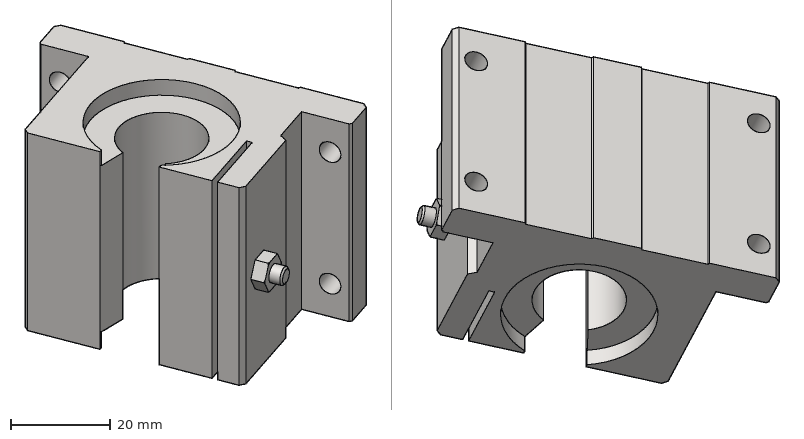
import cadquery as cq
import math


overall_width = 69.85
overall_depth = 39.0
length = 47.65
half_length = length / 2
back_y = 23.8
front_y = back_y - overall_depth

flange_thickness = 8.1
flange_back_chamfer = 1.05
flange_front_chamfer = 0.5
mount_hole_diameter = 4.8
mount_hole_x = 30.2
mount_hole_z = 15.85

groove_depth = 0.4
groove_inner_x = 5.1
groove_outer_x = 19.7
groove_wall_run = 0.3

body_half_width = 23.8
body_chamfer = 1.05
pad_x = 25.5
pad_step_start_y = 5.95
pad_step_end_y = 4.75

shaft_bore_diameter = 19.1
seat_diameter = 31.8
seat_depth = 3.8
opening_half_width = 6.65
throat_half_width = 4.75

slot_left_x = 18.45
slot_width = 1.25
slot_top_y = 1.1

screw_y = -7.7
nut_across_corners = 8.1
nut_thickness = 3.1
nut_chamfer = 0.2
screw_diameter = 4.05
screw_projection = 2.85
screw_chamfer = 0.4


def extrude_full_length(points):
    """Close an XY outline and extrude it over the whole block length."""
    return cq.Workplane("XY", origin=(0, 0, -half_length)).polyline(points).close().extrude(length)


def make_flange():
    half_width = overall_width / 2
    front = back_y - flange_thickness
    flange = extrude_full_length([
        (-half_width, front), (half_width, front), (half_width, back_y), (-half_width, back_y),
    ])
    flange = flange.edges("|Z and >Y").chamfer(flange_back_chamfer)
    return flange.edges("|Z and <Y").chamfer(flange_front_chamfer)


def make_body():
    return extrude_full_length([
        (-body_half_width, back_y - flange_thickness / 2),
        (-body_half_width, front_y + body_chamfer),
        (-body_half_width + body_chamfer, front_y),
        (pad_x - body_chamfer, front_y),
        (pad_x, front_y + body_chamfer),
        (pad_x, pad_step_end_y),
        (body_half_width, pad_step_start_y),
        (body_half_width, back_y - flange_thickness / 2),
    ])


def make_groove(side):
    """Shallow trapezoidal groove on one side (-1 or 1) of the mounting face."""
    floor_y = back_y - groove_depth
    return extrude_full_length([
        (side * groove_inner_x, back_y),
        (side * (groove_inner_x + groove_wall_run), floor_y),
        (side * (groove_outer_x - groove_wall_run), floor_y),
        (side * groove_outer_x, back_y),
    ])


def make_seat_recess(bottom_z):
    return cq.Workplane("XY", origin=(0, 0, bottom_z)).circle(seat_diameter / 2).extrude(seat_depth)


def make_shaft_opening():
    """Round bore with a throat that flares to the seat and then runs straight to the front."""
    bore_radius = shaft_bore_diameter / 2
    throat_y = -math.sqrt(bore_radius ** 2 - throat_half_width ** 2)
    flare_end_y = -math.sqrt((seat_diameter / 2) ** 2 - opening_half_width ** 2)
    outline = (
        cq.Workplane("XY", origin=(0, 0, -half_length))
        .moveTo(throat_half_width, throat_y)
        .threePointArc((0, bore_radius), (-throat_half_width, throat_y))
        .lineTo(-opening_half_width, flare_end_y)
        .lineTo(-opening_half_width, front_y)
        .lineTo(opening_half_width, front_y)
        .lineTo(opening_half_width, flare_end_y)
        .close()
    )
    return outline.extrude(length)


def make_clamp_slot():
    slot_right_x = slot_left_x + slot_width
    return extrude_full_length([
        (slot_left_x, front_y), (slot_right_x, front_y),
        (slot_right_x, slot_top_y), (slot_left_x, slot_top_y),
    ])


def make_mount_holes():
    return (
        cq.Workplane("XZ", origin=(0, back_y, 0))
        .rect(2 * mount_hole_x, 2 * mount_hole_z, forConstruction=True)
        .vertices()
        .circle(mount_hole_diameter / 2)
        .extrude(flange_thickness)
    )


def make_screw_and_nut():
    pad_face = cq.Workplane("YZ", origin=(pad_x, screw_y, 0))
    nut = pad_face.polygon(6, nut_across_corners).extrude(nut_thickness)
    nut_blank = pad_face.circle(nut_across_corners / 2).extrude(nut_thickness)
    nut = nut.intersect(nut_blank.faces(">X").chamfer(nut_chamfer))
    screw = pad_face.circle(screw_diameter / 2).extrude(nut_thickness + screw_projection)
    return nut.union(screw.faces(">X").chamfer(screw_chamfer))


block = make_flange().union(make_body())
for side in (-1, 1):
    block = block.cut(make_groove(side))
for recess_bottom_z in (-half_length, half_length - seat_depth):
    block = block.cut(make_seat_recess(recess_bottom_z))
block = block.cut(make_shaft_opening())
block = block.cut(make_clamp_slot())
block = block.cut(make_mount_holes())

result = block.union(make_screw_and_nut())